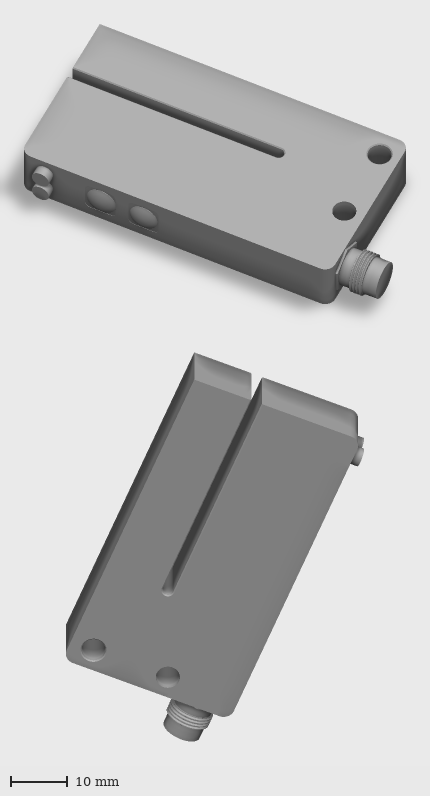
import cadquery as cq
import math


housing_length = 61.0
housing_width = 32.0
thickness = 10.0
corner_radius = 2.0
edge_chamfer = 0.2

slot_width = 2.0
slot_length = 42.05
slot_from_back = 11.95
slot_y = housing_width - slot_from_back

hole_diameter = 4.25
hole_from_connector_end = 3.8
hole_from_back = 4.4
hole_spacing = 14.2
hole_x = housing_length - hole_from_connector_end
back_hole_y = housing_width - hole_from_back
hole_ys = [back_hole_y, back_hole_y - hole_spacing]

panel_start_x = 2.3
panel_end_x = 55.3
panel_height = 7.7
panel_depth = 1.0
panel_corner_radius = 0.8

lamp_diameter = 3.4
lamp_spacing = 3.9
lamp_x = 4.8
lamp_protrusion = 1.8

recess_size = 6.0
recess_corner_radius = 1.0
recess_depth = 0.1
dome_height = 0.8
buttons = [(15.7, 15.95, 5.7), (24.25, 24.25, 5.4)]

connector_y = 6.05
connector_end_x = 68.7
stem_diameter = 7.0
nose_start_x = 66.4
nose_tip_diameter = 6.95

flange_thickness = 0.4
flange_across_flats = 8.0
flange_across_corners = flange_across_flats / math.cos(math.radians(30))

collar_start_x = 63.5
collar_length = 2.55
collar_diameter = 8.0
thread_pitch = 0.6
thread_depth = 0.35
thread_foot_width = 0.55
thread_crest_width = 0.15
thread_start_angle = 280
thread_overrun = 0.35
thread_sink = 0.1


def panel_plane(depth=0.0):
    """Plane parallel to the panel face, facing -Y, the given depth inside the housing."""
    return cq.Workplane("XZ", origin=(0, depth, 0))


def across_connector(x):
    """Plane square to the connector axis at the given X, facing +X."""
    return cq.Workplane("YZ", origin=(x, connector_y, 0))


def panel_block():
    """Rounded rectangular block that fills the panel recess."""
    return (
        panel_plane(panel_depth)
        .center((panel_start_x + panel_end_x) / 2, 0)
        .rect(panel_end_x - panel_start_x, panel_height)
        .extrude(panel_depth)
        .edges("|Y")
        .fillet(panel_corner_radius)
    )


def slot_outline(plate_face):
    """Round-ended slot profile, open past the X = 0 end."""
    radius = slot_width / 2
    arc_center_x = slot_length - radius
    open_end_x = -slot_width
    return (
        plate_face
        .moveTo(open_end_x, slot_y - radius)
        .lineTo(arc_center_x, slot_y - radius)
        .threePointArc((slot_length, slot_y), (arc_center_x, slot_y + radius))
        .lineTo(open_end_x, slot_y + radius)
        .close()
    )


def make_housing():
    top_face = cq.Workplane("XY", origin=(0, 0, thickness / 2))
    plate = (
        top_face
        .rect(housing_length, housing_width, centered=False)
        .extrude(-thickness)
        .edges("|Z and (>X or <Y)")
        .fillet(corner_radius)
    )
    slot = slot_outline(top_face).extrude(-thickness)
    holes = (
        top_face
        .pushPoints([(hole_x, y) for y in hole_ys])
        .circle(hole_diameter / 2)
        .extrude(-thickness)
    )
    body = plate.cut(slot).cut(holes)

    rim_zone = cq.selectors.BoxSelector(
        (edge_chamfer, slot_y - slot_width, -thickness),
        (hole_x + hole_diameter / 2, housing_width - edge_chamfer, thickness),
    )
    body = body.faces("|Z").edges(rim_zone).chamfer(edge_chamfer)
    return body.cut(panel_block())


def make_panel():
    panel = panel_block()
    for recess_x, dome_x, dome_diameter in buttons:
        recess = (
            panel_plane()
            .center(recess_x, 0)
            .rect(recess_size, recess_size)
            .extrude(-recess_depth)
            .edges("|Y")
            .fillet(recess_corner_radius)
        )
        panel = panel.cut(recess).union(button_dome(dome_x, dome_diameter))
    lamps = (
        panel_plane()
        .pushPoints([(lamp_x, lamp_spacing / 2), (lamp_x, -lamp_spacing / 2)])
        .circle(lamp_diameter / 2)
        .extrude(lamp_protrusion)
    )
    return panel.union(lamps)


def button_dome(x, diameter):
    """Spherical cap that meets the panel face in a circle and has a foot down to the recess floor."""
    foot_radius = diameter / 2
    sphere_radius = (foot_radius**2 + dome_height**2) / (2 * dome_height)
    half_angle = math.asin(foot_radius / sphere_radius) / 2
    arc_middle = (
        sphere_radius * math.sin(half_angle),
        sphere_radius * (1 - math.cos(half_angle)) - dome_height,
    )
    return (
        cq.Workplane("XY", origin=(x, 0, 0))
        .moveTo(0, recess_depth)
        .lineTo(foot_radius, recess_depth)
        .lineTo(foot_radius, 0)
        .threePointArc(arc_middle, (0, -dome_height))
        .close()
        .revolve(360, (0, 0), (0, 1))
    )


def thread_ridge():
    """Right-handed helical ridge over the whole collar, cut off square at both of its ends."""
    crest_radius = collar_diameter / 2
    base_radius = crest_radius - thread_depth - thread_sink
    helix = cq.Wire.makeHelix(thread_pitch, collar_length + 2 * thread_overrun, crest_radius)
    ridge = (
        cq.Workplane("XZ")
        .moveTo(base_radius, -thread_foot_width / 2)
        .lineTo(crest_radius, -thread_crest_width / 2)
        .lineTo(crest_radius, thread_crest_width / 2)
        .lineTo(base_radius, thread_foot_width / 2)
        .close()
        .sweep(cq.Workplane(helix), isFrenet=True)
    )
    ridge = (
        ridge
        .rotate((0, 0, 0), (0, 0, 1), thread_start_angle)
        .rotate((0, 0, 0), (0, 1, 0), 90)
        .translate((collar_start_x - thread_overrun, connector_y, 0))
    )
    collar_zone = (
        across_connector(collar_start_x)
        .circle(collar_diameter)
        .extrude(collar_length)
    )
    return ridge.intersect(collar_zone)


def make_connector():
    flange = (
        across_connector(housing_length)
        .polygon(6, flange_across_corners)
        .extrude(flange_thickness)
        .rotate((0, connector_y, 0), (1, connector_y, 0), 90)
    )
    stem = (
        across_connector(housing_length)
        .circle(stem_diameter / 2)
        .extrude(nose_start_x - housing_length)
    )
    nose = (
        across_connector(nose_start_x)
        .circle(stem_diameter / 2)
        .workplane(offset=connector_end_x - nose_start_x)
        .circle(nose_tip_diameter / 2)
        .loft()
    )
    collar_core = (
        across_connector(collar_start_x)
        .circle(collar_diameter / 2 - thread_depth)
        .extrude(collar_length)
    )
    return flange.union(stem).union(nose).union(collar_core).union(thread_ridge())


housing = make_housing()
panel = make_panel()
connector = make_connector()

result = cq.Compound.makeCompound([housing.val(), panel.val(), connector.val()])